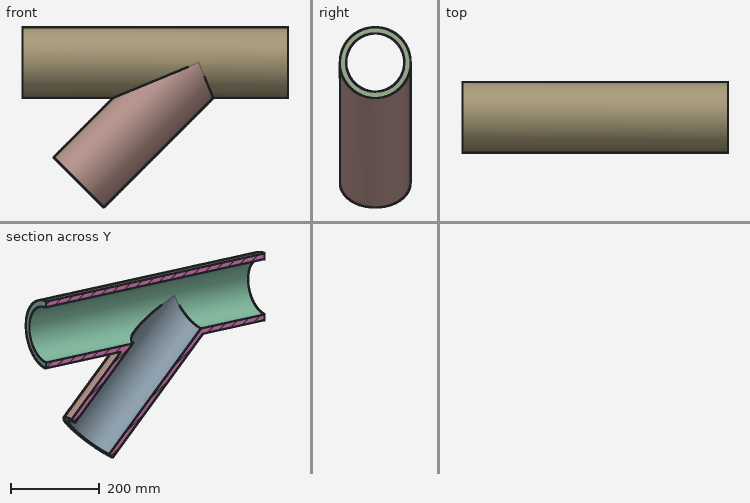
import cadquery as cq
import math

run_length = 600.0
outer_diameter = 160.0
bore_diameter = 131.0
branch_angle = 45.0
branch_start = 398.0
branch_length = 383.0

run_plane = cq.Plane(origin=(0, 0, 0), xDir=(0, 1, 0), normal=(1, 0, 0))

angle = math.radians(branch_angle)
branch_direction = (-math.cos(angle), 0, -math.sin(angle))
branch_plane = cq.Plane(origin=(branch_start, 0, 0), xDir=(0, 1, 0), normal=branch_direction)



def run_cylinder(diameter):
    """Full-length cylinder on the run axis."""
    return cq.Workplane(run_plane).circle(diameter / 2).extrude(run_length)


def branch_cylinder(diameter):
    """Cylinder on the branch axis, starting where the axes meet."""
    return cq.Workplane(branch_plane).circle(diameter / 2).extrude(branch_length)


outside = run_cylinder(outer_diameter).union(branch_cylinder(outer_diameter))
bores = run_cylinder(bore_diameter).union(branch_cylinder(bore_diameter))
result = outside.cut(bores)